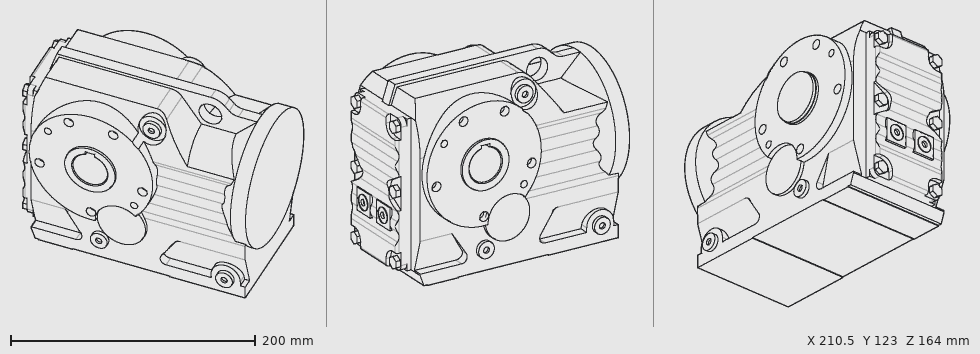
import cadquery as cq
import math

SIDES = (-1, 1)

half_width = 49.9
house_left = -56.8
foot_right = 134.3
house_top = 61.3
house_bottom = -99.4
top_half_width = 32.8
shoulder_start = 15.2
bevel_top = 46.3
bevel_bottom = -89.5
bevel_top_run = 5.5
bevel_bottom_run = 3.5
slope_start = 54.7
slope_run = 13.2
slope_drop = 18.0
slope_round = 12.6
foot_pad_height = 0.6
foot_pads = ((-50.0, -19.8), (67.0, foot_right))

axis_z = -8.5
neck_top = 32.6
neck_roof_radius = 139.0
neck_left = 52.6
flange_radius = 60.0
flange_left = 125.5
flange_right = 139.0
cone_length = 31.5
foot_step = -42.3

side_groove_left = 33.7
side_groove_first = 9.3
side_groove_pitch = 21.5
side_groove_depth = 3.4
side_groove_count = 3

rib_thickness = 10.3
rib_top = 64.0
rib_left = -59.2
rib_bevel_run = 5.9
rib_drop_start = 91.4
rib_drop_end = 104.0
rib_end_top = axis_z + flange_radius
rib_round_top = 17.7
rib_round_end = 11.8
eye_x = 83.8
eye_z = 45.9
eye_radius = 10.0

output_radius = 55.2
output_face = 57.7
bolt_circle = 47.0
bolt_hole_radius = 4.2
pin_hole_radius = 3.2
pin_angles = (145, -35)
bolt_angles = (-90, -12, 65, 115, 192)
flange_hole_depth = 7.4
hub_radius = 22.5
hub_face = 60.0
cap_radius = 21.9
cap_face = 63.0
bore_radius = 15.4
bore_chamfer = 0.8
bore_floor = 54.7
key_width = 8.5
key_top = 18.0
center_hole_radius = 5.3
center_hole_depth = 4.2

cover_x = 25.3
cover_z = -54.3
cover_radius = 21.5
plug_height = 3.4
plug_radius = 7.5
socket_radius = 2.7
socket_depth = 2.0
side_cover_face = half_width + plug_height
upper_plug = (48.0, 46.0)
upper_seat_face = 40.8
upper_seat_radius = 12.2
lower_left_plug = (5.0, -79.8)
lower_right_plug = (116.8, -84.0)
lower_seat_radius = 13.0

pocket_top = -59.0
pocket_floor = -88.2
pocket_depth = 9.0
pocket_slant = 19.4
left_pocket_end = -26.3
right_pocket_start = 73.3
pocket_round = 5.3

lid_half_width = 36.0
lid_top = 46.3
lid_bottom = -89.5
plate_left = -61.0
seat_left = -66.5
lid_left = -71.0
lid_corner_radius = 6.0
lid_edge_round = 2.5
lid_bolt_y = 29.9
lid_bolt_top = 39.0
lid_bolt_middle = -19.0
lid_bolt_bottom = -82.0
lid_seat_radius = 10.0
lid_seat_flare = math.radians(30)
hex_flats = 9.9
lid_groove_top = 23.5
lid_groove_bottom = -66.3
lid_groove_depth = 2.3
lid_groove_count = 5
lid_groove_pitch = (lid_groove_top - lid_groove_bottom) / lid_groove_count
lid_groove_first = lid_groove_top - lid_groove_pitch / 2
gauge_pad_size = 20.6
gauge_y = 15.2
gauge_z = -45.0
gauge_plug_radius = 7.0
gauge_plug_left = -71.5


def box(x0, x1, y0, y1, z0, z1):
    return cq.Workplane("XY").box(x1 - x0, y1 - y0, z1 - z0, centered=False).translate((x0, y0, z0))


def y_cylinder(x, z, radius, y0, y1):
    """Cylinder along Y between y0 and y1 (in either order)."""
    return cq.Workplane("XZ", origin=(x, min(y0, y1), z)).circle(radius).extrude(-abs(y1 - y0))


def x_profile(outline, x0, x1):
    """Extrude an outline drawn on the YZ plane from x0 to x1."""
    return outline.close().extrude(x1 - x0).translate((x0, 0, 0))


def round_y_edge(solid, x, z, radius):
    """Fillet the edge along Y that lies at (x, z)."""
    corner = cq.selectors.NearestToPointSelector((x, 0, z))
    return solid.edges("|Y").edges(corner).fillet(radius)


def groove(pitch, depth):
    """Wavy groove outline: tangent arcs from crest to crest (y = 0), valley at x = 0."""
    quarter = pitch / 4
    arc_angle = 2 * math.atan(depth / 2 / quarter)
    radius = quarter / math.sin(arc_angle)
    mid_run = radius * math.sin(arc_angle / 2)
    mid_rise = radius * (1 - math.cos(arc_angle / 2))
    return (
        cq.Workplane("XY")
        .moveTo(-2 * quarter, 0)
        .threePointArc((mid_run - 2 * quarter, -mid_rise), (-quarter, -depth / 2))
        .threePointArc((0, -depth), (quarter, -depth / 2))
        .threePointArc((2 * quarter - mid_run, -mid_rise), (2 * quarter, 0))
        .lineTo(2 * quarter, depth)
        .lineTo(-2 * quarter, depth)
        .close()
    )


def shouldered_prism(x0, x1):
    """Prism along X with the housing's flat roof, rounded shoulders and upright sides."""
    rise = house_top - shoulder_start
    inset = half_width - top_half_width
    shoulder_radius = (rise**2 + inset**2) / (2 * inset)
    center_y = half_width - shoulder_radius
    mid_angle = math.asin(rise / shoulder_radius) / 2
    mid_y = center_y + shoulder_radius * math.cos(mid_angle)
    mid_z = shoulder_start + shoulder_radius * math.sin(mid_angle)
    section = (
        cq.Workplane("YZ")
        .moveTo(-half_width, house_bottom)
        .lineTo(half_width, house_bottom)
        .lineTo(half_width, shoulder_start)
        .threePointArc((mid_y, mid_z), (top_half_width, house_top))
        .lineTo(-top_half_width, house_top)
        .threePointArc((-mid_y, mid_z), (-half_width, shoulder_start))
    )
    return x_profile(section, x0, x1)


def make_housing():
    slope_end = slope_start + slope_run / slope_drop * (house_top - foot_step)
    side = (
        cq.Workplane("XZ")
        .moveTo(house_left, bevel_bottom)
        .lineTo(house_left + bevel_bottom_run, house_bottom)
        .lineTo(foot_right, house_bottom)
        .lineTo(foot_right, foot_step)
        .lineTo(slope_end, foot_step)
        .lineTo(slope_start, house_top)
        .lineTo(house_left + bevel_top_run, house_top)
        .lineTo(house_left, bevel_top)
        .close()
        .extrude(half_width, both=True)
    )
    side = round_y_edge(side, slope_start, house_top, slope_round)
    body = shouldered_prism(house_left, foot_right).intersect(side)
    for start, end in foot_pads:
        pad_bottom = house_bottom - foot_pad_height
        body = body.union(box(start, end, -half_width, half_width, pad_bottom, house_bottom))
    return body


def make_neck():
    roof_center = neck_top - neck_roof_radius
    eaves = roof_center + math.sqrt(neck_roof_radius**2 - half_width**2)
    section = (
        cq.Workplane("YZ")
        .moveTo(-half_width, house_bottom)
        .lineTo(half_width, house_bottom)
        .lineTo(half_width, eaves)
        .threePointArc((0, neck_top), (-half_width, eaves))
    )
    neck = x_profile(section, neck_left, flange_left)
    return neck.intersect(shouldered_prism(neck_left, flange_left))


def make_motor_flange():
    return (
        cq.Workplane("XZ")
        .moveTo(flange_left - cone_length, 0)
        .lineTo(flange_left - cone_length, flange_radius - cone_length)
        .lineTo(flange_left, flange_radius)
        .lineTo(flange_right, flange_radius)
        .lineTo(flange_right, 0)
        .close()
        .revolve(360, (0, 0, 0), (1, 0, 0))
        .translate((0, 0, axis_z))
    )


def make_side_grooves():
    """Lengthwise grooves of both neck sides."""
    length = foot_right - side_groove_left
    cutters = cq.Workplane("XY")
    cutter = (
        groove(side_groove_pitch, side_groove_depth)
        .extrude(length)
        .rotate((0, 0, 0), (0, 1, 0), 90)
        .translate((side_groove_left, half_width, 0))
    )
    for index in range(side_groove_count):
        placed = cutter.translate((0, 0, side_groove_first - index * side_groove_pitch))
        cutters = cutters.union(placed).union(placed.mirror("XZ"))
    return cutters


def make_rib():
    rib = (
        cq.Workplane("XZ")
        .moveTo(rib_left, bevel_top)
        .lineTo(rib_left + rib_bevel_run, rib_top)
        .lineTo(rib_drop_start, rib_top)
        .lineTo(rib_drop_end, rib_end_top)
        .lineTo(flange_left, rib_end_top)
        .lineTo(flange_left, axis_z)
        .lineTo(house_left, axis_z)
        .lineTo(house_left, bevel_top)
        .close()
        .extrude(rib_thickness / 2, both=True)
    )
    rib = round_y_edge(rib, rib_drop_start, rib_top, rib_round_top)
    rib = round_y_edge(rib, rib_drop_end, rib_end_top, rib_round_end)
    return rib.cut(y_cylinder(eye_x, eye_z, eye_radius, -rib_thickness, rib_thickness))


def pocket_prism(open_end, top_end, tip):
    """Pocket prism along Y, open at one end and with a slanted wall from top_end to tip."""
    return (
        cq.Workplane("XZ")
        .moveTo(open_end, pocket_top)
        .lineTo(top_end, pocket_top)
        .lineTo(tip, pocket_floor)
        .lineTo(open_end, pocket_floor)
        .close()
        .extrude(half_width, both=True)
    )


def make_pockets():
    """Wedge-shaped side pockets that deepen towards the foot."""
    overrun = 2.0
    left_open = house_left - overrun
    right_open = foot_right + overrun
    left_tip = left_pocket_end + pocket_slant
    right_tip = right_pocket_start - pocket_slant
    left = pocket_prism(left_open, left_pocket_end, left_tip)
    left = round_y_edge(left, left_tip, pocket_floor, pocket_round)
    right = pocket_prism(right_open, right_pocket_start, right_tip)
    right = round_y_edge(right, right_tip, pocket_floor, pocket_round)
    right = round_y_edge(right, right_pocket_start, pocket_top, pocket_round)

    pockets = cq.Workplane("XY")
    for side in SIDES:
        wedge = x_profile(
            cq.Workplane("YZ")
            .moveTo(side * half_width, pocket_top)
            .lineTo(side * half_width, pocket_floor)
            .lineTo(side * (half_width - pocket_depth), pocket_floor),
            left_open,
            right_open,
        )
        pockets = pockets.union(wedge.intersect(left.union(right)))
    x, z = lower_right_plug
    seat = y_cylinder(x, z, lower_seat_radius, -half_width, half_width)
    seat_left_x = x - lower_seat_radius
    seat_right_x = x + lower_seat_radius
    apron = box(seat_left_x, seat_right_x, -half_width, half_width, pocket_floor, z)
    return pockets.cut(seat).cut(apron)


def make_output_flanges():
    flanges = y_cylinder(0, 0, output_radius, -output_face, output_face)
    for side in SIDES:
        for bolt_angle in bolt_angles:
            flanges = flanges.cut(flange_hole(math.radians(bolt_angle), bolt_hole_radius, side))
        for pin_angle in pin_angles:
            flanges = flanges.cut(flange_hole(math.radians(pin_angle), pin_hole_radius, side))
    return flanges


def flange_hole(angle, radius, side):
    x = bolt_circle * math.cos(angle)
    z = bolt_circle * math.sin(angle)
    return y_cylinder(x, z, radius, side * output_face, side * (output_face - flange_hole_depth))


def make_hub():
    hub = y_cylinder(0, 0, hub_radius, -hub_face, hub_face)
    return hub.union(y_cylinder(0, 0, cap_radius, 0, cap_face))


def make_bore():
    """Keyed bore, blind towards +Y, with a centre hole in its floor."""
    bore = y_cylinder(0, 0, bore_radius, -hub_face, bore_floor)
    mouth = cq.Workplane(
        cq.Solid.makeCone(
            bore_radius + bore_chamfer, bore_radius, bore_chamfer,
            cq.Vector(0, -hub_face, 0), cq.Vector(0, 1, 0),
        )
    )
    key = box(-key_width / 2, key_width / 2, -hub_face, bore_floor, 0, key_top)
    center = y_cylinder(0, 0, center_hole_radius, bore_floor, bore_floor + center_hole_depth)
    return bore.union(mouth).union(key).union(center)


def add_plug(body, x, z, seat_face):
    for side in SIDES:
        face = side * (seat_face + plug_height)
        body = body.union(y_cylinder(x, z, plug_radius, side * (seat_face - plug_height), face))
        body = body.cut(y_cylinder(x, z, socket_radius, face, face - side * socket_depth))
    return body


def add_side_details(body):
    """Round covers set into the output flanges, and the oil plugs with their seats."""
    x, z = upper_plug
    for side in SIDES:
        face = side * side_cover_face
        body = body.cut(y_cylinder(cover_x, cover_z, cover_radius, face, side * output_face))
        body = body.union(y_cylinder(cover_x, cover_z, cover_radius, 0, face))
        seat = side * upper_seat_face
        body = body.cut(y_cylinder(x, z, upper_seat_radius, seat, side * output_face))
        body = body.union(y_cylinder(x, z, upper_seat_radius, 0, seat))
    body = add_plug(body, x, z, upper_seat_face)
    body = add_plug(body, *lower_left_plug, half_width)
    return add_plug(body, *lower_right_plug, half_width)


def make_lid_seats():
    """Recesses around the six lid bolts, open towards the lid edges."""
    corner_reach = 2 * lid_seat_radius
    depth = seat_left - lid_left
    seats = cq.Workplane("XY")
    for side in SIDES:
        for z, outward in ((lid_bolt_top, 1), (lid_bolt_bottom, -1)):
            y = side * lid_bolt_y
            inner_y = y - side * lid_seat_radius
            outer_y = y + side * corner_reach
            bend = lid_seat_radius * math.sqrt(0.5)
            outline = (
                cq.Workplane("YZ")
                .moveTo(outer_y, z + outward * corner_reach)
                .lineTo(inner_y, z + outward * corner_reach)
                .lineTo(inner_y, z)
                .threePointArc((y - side * bend, z - outward * bend), (y, z - outward * lid_seat_radius))
                .lineTo(outer_y, z - outward * lid_seat_radius)
            )
            seats = seats.union(x_profile(outline, lid_left - depth, seat_left))
        y = side * lid_bolt_y
        tangent_y = y - side * lid_seat_radius * math.sin(lid_seat_flare)
        tangent_rise = lid_seat_radius * math.cos(lid_seat_flare)
        outer_y = y + side * lid_seat_radius
        outer_rise = tangent_rise + abs(outer_y - tangent_y) * math.tan(lid_seat_flare)
        outline = (
            cq.Workplane("YZ")
            .moveTo(outer_y, lid_bolt_middle + outer_rise)
            .lineTo(tangent_y, lid_bolt_middle + tangent_rise)
            .threePointArc(
                (y - side * lid_seat_radius, lid_bolt_middle),
                (tangent_y, lid_bolt_middle - tangent_rise),
            )
            .lineTo(outer_y, lid_bolt_middle - outer_rise)
        )
        seats = seats.union(x_profile(outline, lid_left - depth, seat_left))
    return seats


def make_lid():
    raised = box(lid_left, plate_left, -lid_half_width, lid_half_width, lid_bottom, lid_top)
    raised = raised.edges("|X").fillet(lid_corner_radius)
    raised = raised.faces("<X").edges().fillet(lid_edge_round)
    cutter = (
        groove(lid_groove_pitch, lid_groove_depth)
        .extrude(lid_half_width, both=True)
        .rotate((0, 0, 0), (0, 0, 1), 90)
        .rotate((0, 0, 0), (1, 0, 0), 90)
        .translate((lid_left, 0, 0))
    )
    for index in range(lid_groove_count):
        raised = raised.cut(cutter.translate((0, 0, lid_groove_first - index * lid_groove_pitch)))

    half_pad = gauge_pad_size / 2
    for side in SIDES:
        y = side * gauge_y
        raised = raised.union(
            box(lid_left, plate_left, y - half_pad, y + half_pad, gauge_z - half_pad, gauge_z + half_pad)
        )
    raised = raised.cut(make_lid_seats())
    for side in SIDES:
        plug = cq.Workplane("YZ").circle(gauge_plug_radius).extrude(plate_left - gauge_plug_left)
        socket = cq.Workplane("YZ").circle(socket_radius).extrude(socket_depth)
        raised = raised.union(plug.translate((gauge_plug_left, side * gauge_y, gauge_z)))
        raised = raised.cut(socket.translate((gauge_plug_left, side * gauge_y, gauge_z)))

    hex_half_angle = 30
    hex_corners = hex_flats / math.cos(math.radians(hex_half_angle))
    head = cq.Workplane("YZ").polygon(6, hex_corners).extrude(plate_left - lid_left)
    head = head.rotate((0, 0, 0), (1, 0, 0), hex_half_angle)
    for side in SIDES:
        for z in (lid_bolt_top, lid_bolt_middle, lid_bolt_bottom):
            raised = raised.union(head.translate((lid_left, side * lid_bolt_y, z)))
    plate = box(plate_left, house_left, -lid_half_width, lid_half_width, lid_bottom, lid_top)
    return raised.union(plate)


result = (
    make_housing()
    .union(make_neck())
    .cut(make_side_grooves())
    .cut(make_pockets())
    .union(make_motor_flange())
    .union(make_rib())
    .union(make_output_flanges())
    .union(make_hub())
    .cut(make_bore())
)
result = add_side_details(result).union(make_lid())